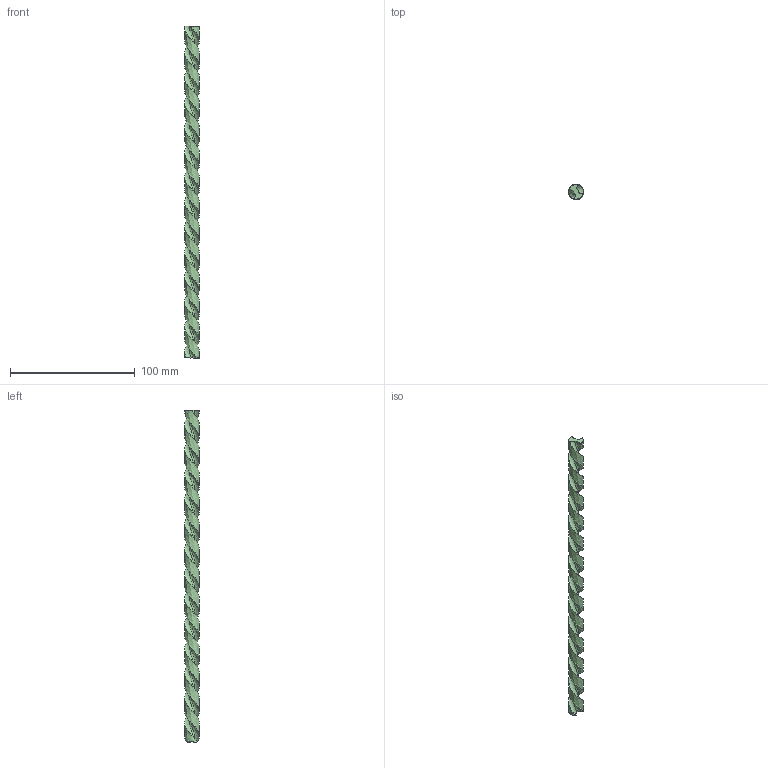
import cadquery as cq
import math

diameter = 12.0
length = 266.67
pitch = 40.0
web_thickness = 3.6
floor_width = 1.6
mouth_half_angle = 43.7
flute_direction = 30.0

body_radius = diameter / 2
total_twist = -360.0 * length / pitch
start_direction = flute_direction - total_twist


def turned(x, y, turn):
    """Point of a flute frame (flute opening along +X) turned about the bar axis."""
    angle = math.radians(turn)
    return (
        x * math.cos(angle) - y * math.sin(angle),
        x * math.sin(angle) + y * math.cos(angle),
    )


def section():
    """Round bar cross-section with two opposite flutes, each a flat floor between tangent arc walls."""
    floor_x = web_thickness / 2
    floor_y = floor_width / 2
    mouth_x = body_radius * math.cos(math.radians(mouth_half_angle))
    mouth_y = body_radius * math.sin(math.radians(mouth_half_angle))

    rise = mouth_x - floor_x
    run = mouth_y - floor_y
    wall_radius = (rise**2 + run**2) / (2 * rise)
    half_sweep = math.atan2(rise, run)
    mid_x = floor_x + wall_radius * (1 - math.cos(half_sweep))
    mid_y = floor_y + wall_radius * math.sin(half_sweep)

    outline = cq.Workplane("XY").moveTo(*turned(mouth_x, -mouth_y, start_direction))
    for turn in (start_direction, start_direction + 180):
        outline = (
            outline.threePointArc(turned(mid_x, -mid_y, turn), turned(floor_x, -floor_y, turn))
            .lineTo(*turned(floor_x, floor_y, turn))
            .threePointArc(turned(mid_x, mid_y, turn), turned(mouth_x, mouth_y, turn))
            .threePointArc(turned(0, body_radius, turn), turned(-mouth_x, mouth_y, turn))
        )
    return outline.close()


result = section().twistExtrude(length, total_twist)